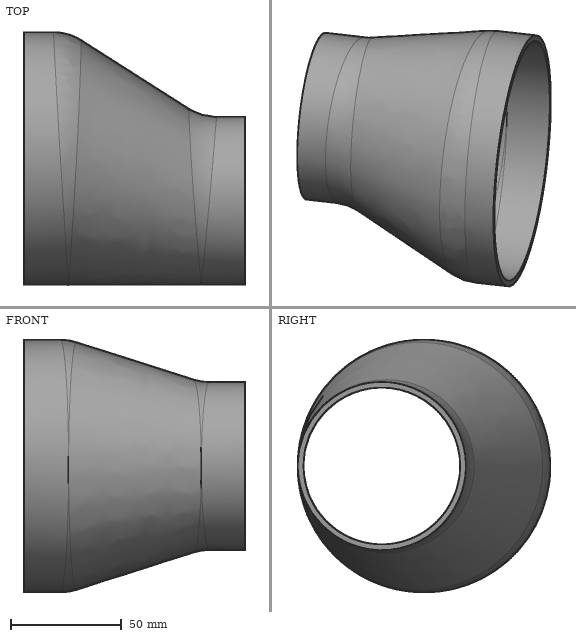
import math

import cadquery as cq

length = 100.0
large_radius = 57.2
small_radius = 38.02
wall = 2.6
cone_start = 20.1
cone_end = 80.2
bend_radius = 23.4

tangent_clearance = 0.06
small_end_y = small_radius - large_radius + tangent_clearance

mean_slope = math.atan((large_radius - small_radius) / (cone_end - cone_start))
bore_bend_shift = wall * math.tan(mean_slope / 2)


def straight_end(start, end, radius, center_y):
    """Solid cylinder along X between two stations."""
    return (
        cq.Workplane("YZ", origin=(start, center_y, 0))
        .circle(radius)
        .extrude(end - start)
    )


def oblique_cone(start, end, start_radius, end_radius):
    """Solid cone from the large end's axis to the small end's axis."""
    return (
        cq.Workplane("YZ", origin=(start, 0, 0))
        .circle(start_radius)
        .workplane(offset=end - start)
        .center(small_end_y, 0)
        .circle(end_radius)
        .loft(ruled=True)
    )


def round_bend(body, station, radius):
    """Round the circular edge where the cone meets a straight end."""
    margin = 1.1
    near_corner = (station - margin, -2 * large_radius, -2 * large_radius)
    far_corner = (station + margin, 2 * large_radius, 2 * large_radius)
    return body.edges(cq.selectors.BoxSelector(near_corner, far_corner)).fillet(radius)


def reducer_solid(inset, bend_shift):
    """Filled reducer lying `inset` inside the outer surface, bends moved by `bend_shift`."""
    start = cone_start - bend_shift
    end = cone_end - bend_shift
    start_radius = large_radius - inset
    end_radius = small_radius - inset
    body = (
        straight_end(0, start, start_radius, 0)
        .union(oblique_cone(start, end, start_radius, end_radius))
        .union(straight_end(end, length, end_radius, small_end_y))
    )
    body = round_bend(body, start, bend_radius - inset)
    return round_bend(body, end, bend_radius + inset)


outside = reducer_solid(0, 0)
bore = reducer_solid(wall, bore_bend_shift)
result = outside.cut(bore)